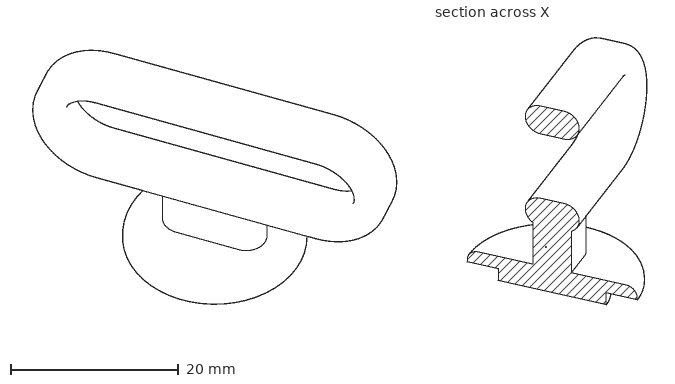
import cadquery as cq

ring_length = 45.0
ring_height = 17.0
bar_thickness = 4.0
bar_width = 7.0

post_length = 13.0
post_width = 5.0

total_height = 26.0
foot_diameter = 14.0
foot_height = 1.65
disc_diameter = 22.0
disc_height = 1.8
rim_radius = 1.5

ring_bottom = total_height - ring_height
ring_center_z = ring_bottom + ring_height / 2
disc_top = foot_height + disc_height


def make_ring():
    """Sweep the full-round bar section around the oval centreline."""
    bend_radius = (ring_height - bar_thickness) / 2
    half_straight = (ring_length - ring_height) / 2
    top_z = ring_center_z + bend_radius
    low_z = ring_center_z - bend_radius
    bar_end_x = half_straight + bend_radius
    path = (
        cq.Workplane("XZ")
        .moveTo(0, top_z)
        .lineTo(half_straight, top_z)
        .threePointArc((bar_end_x, ring_center_z), (half_straight, low_z))
        .lineTo(-half_straight, low_z)
        .threePointArc((-bar_end_x, ring_center_z), (-half_straight, top_z))
        .close()
    )
    section = cq.Workplane("YZ", origin=(0, 0, top_z)).slot2D(bar_width, bar_thickness)
    return section.sweep(path)


def make_post():
    """Rise from the disc to the middle of the lower bar."""
    post_top = ring_bottom + bar_thickness / 2
    return (
        cq.Workplane("XY", origin=(0, 0, disc_top))
        .slot2D(post_length, post_width)
        .extrude(post_top - disc_top)
    )


def make_base():
    foot = cq.Workplane("XY").circle(foot_diameter / 2).extrude(foot_height)
    disc = (
        cq.Workplane("XY", origin=(0, 0, foot_height))
        .circle(disc_diameter / 2)
        .extrude(disc_height)
        .faces(">Z")
        .edges()
        .fillet(rim_radius)
    )
    return foot.union(disc)


result = make_base().union(make_post()).union(make_ring())